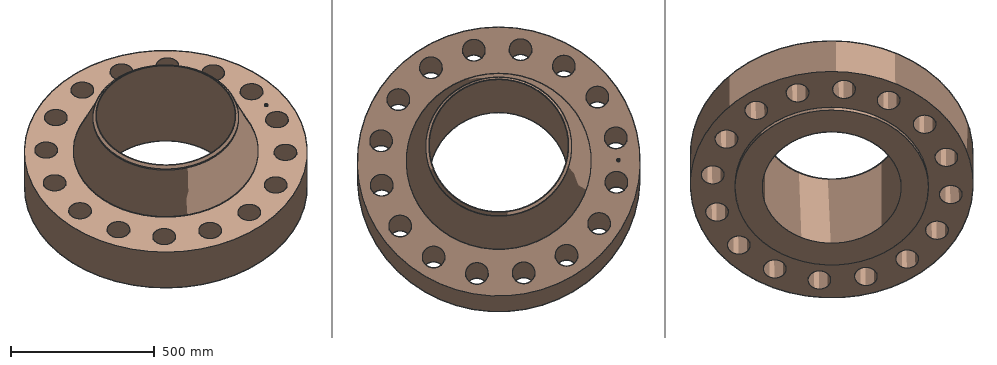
import cadquery as cq
import math

flange_diameter = 984.0
flange_thickness = 178.0
face_diameter = 673.0
face_height = 17.0
hub_height = 178.0
hub_foot_height = 3.0
hub_base_diameter = 644.0
neck_diameter = 508.0
bore_diameter = 483.0

land_width = 2.0
bevel_angle = 37.5
neck_band_height = 6.0

bolt_count = 16
bolt_circle_diameter = 832.0
bolt_hole_diameter = 79.0

pin_recess_diameter = 12.0
pin_recess_depth = 3.0
pin_hole_diameter = 5.0
pin_hole_depth = 20.0

flange_top = face_height + flange_thickness
total_height = flange_top + hub_height
flange_radius = flange_diameter / 2
face_radius = face_diameter / 2
hub_base_radius = hub_base_diameter / 2
neck_radius = neck_diameter / 2
bore_radius = bore_diameter / 2
land_radius = bore_radius + land_width
bevel_height = (neck_radius - land_radius) * math.tan(math.radians(bevel_angle))
bevel_start = total_height - bevel_height
cone_top = bevel_start - neck_band_height
bolt_circle_radius = bolt_circle_diameter / 2
bolt_pitch = 360 / bolt_count


def revolved_body():
    """Raised face, flange, tapered hub and bevelled weld end around the bore."""
    return (
        cq.Workplane("XZ")
        .moveTo(bore_radius, 0)
        .lineTo(face_radius, 0)
        .lineTo(face_radius, face_height)
        .lineTo(flange_radius, face_height)
        .lineTo(flange_radius, flange_top)
        .lineTo(hub_base_radius, flange_top)
        .lineTo(hub_base_radius, flange_top + hub_foot_height)
        .lineTo(neck_radius, cone_top)
        .lineTo(neck_radius, bevel_start)
        .lineTo(land_radius, total_height)
        .lineTo(bore_radius, total_height)
        .close()
        .revolve(360, (0, 0, 0), (0, 1, 0))
    )


def bolt_holes():
    """Through holes evenly spaced on the bolt circle, one of them on +X."""
    return (
        cq.Workplane("XY")
        .polarArray(bolt_circle_radius, 0, 360, bolt_count)
        .circle(bolt_hole_diameter / 2)
        .extrude(flange_top)
    )


def pin_hole():
    """Stepped blind hole on the bolt circle, half a pitch from +Y towards -X."""
    angle = math.radians(90 + bolt_pitch / 2)
    center_x = bolt_circle_radius * math.cos(angle)
    center_y = bolt_circle_radius * math.sin(angle)
    surface = cq.Workplane("XY", origin=(center_x, center_y, flange_top))
    recess = surface.circle(pin_recess_diameter / 2).extrude(-pin_recess_depth)
    hole = surface.circle(pin_hole_diameter / 2).extrude(-pin_hole_depth)
    return recess.union(hole)


result = revolved_body().cut(bolt_holes()).cut(pin_hole())